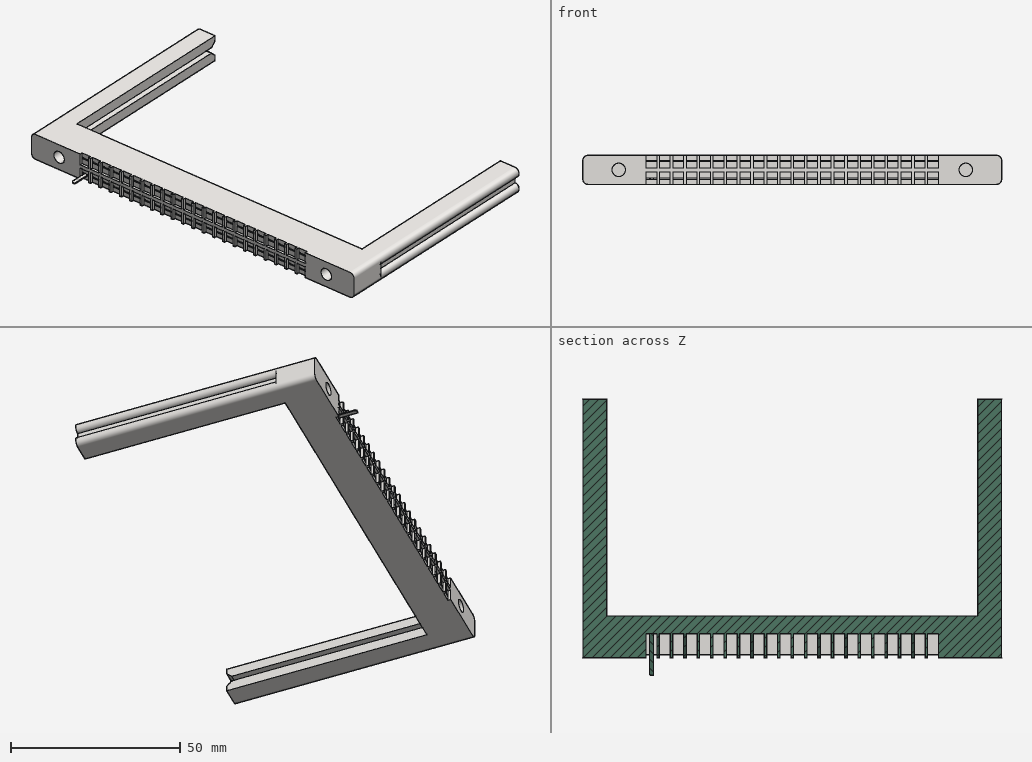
import cadquery as cq

length = 123.8
height = 8.7
arm_width = 7.2
arm_reach = 64.0
bar_depth = 12.4
front_y = 0.0
back_y = front_y + bar_depth
arm_end_y = back_y + arm_reach

edge_radius = 1.6
groove_half_gap = 1.05
mouth_radius = 1.5

guide_height = 1.9
guide_depth = 3.0
guide_flare = 1.6

hole_diameter = 4.0
hole_depth = 7.4
hole_spacing = 102.5

cell_count = 22
cell_pitch = 4.0
cell_wall = 0.8
cell_depth = 0.9
row_divider = 1.2
cell_width = cell_pitch - cell_wall
cell_height = (height - row_divider) / 2

slot_z = 2.6
slot_thickness = 0.4
slot_depth = 6.2

pin_width = 1.2
pin_length_out = 5.2
pin_tip_chamfer = 0.4


def box(x_size, y_size, z_size, x, y_start, z):
    """Box centred on x and z that runs from y_start towards +Y."""
    return cq.Workplane("XY").box(x_size, y_size, z_size).translate((x, y_start + y_size / 2, z))


def cell_x(index):
    return (index - (cell_count - 1) / 2) * cell_pitch


def make_frame():
    frame = box(length, bar_depth, height, 0, front_y, 0)
    for side in (-1, 1):
        arm_x = side * (length - arm_width) / 2
        frame = frame.union(box(arm_width, arm_reach, height, arm_x, back_y, 0))
    return frame.edges("|Y and (<X or >X)").fillet(edge_radius)


def outer_groove(side):
    """Groove along the outer face of an arm, with a rounded mouth."""
    face_x = side * length / 2
    floor_x = face_x - side * mouth_radius
    mouth_z = groove_half_gap + mouth_radius
    arc_reach = mouth_radius * (1 - 0.5 ** 0.5)
    arc_x = face_x - side * arc_reach
    arc_z = groove_half_gap + arc_reach
    return (
        cq.Workplane("XZ", origin=(0, arm_end_y, 0))
        .moveTo(face_x, mouth_z)
        .threePointArc((arc_x, arc_z), (floor_x, groove_half_gap))
        .lineTo(floor_x, -groove_half_gap)
        .threePointArc((arc_x, -arc_z), (face_x, -mouth_z))
        .close()
        .extrude(arm_reach)
    )


def guide_groove(side):
    """Guide slot whose open end flares above and below at 45 degrees to lead the card in."""
    inner_x = side * (length / 2 - arm_width)
    half = guide_height / 2
    flare_y = arm_end_y - guide_flare
    flare_z = half + guide_flare
    return (
        cq.Workplane("YZ", origin=(inner_x, 0, 0))
        .moveTo(back_y, -half)
        .lineTo(flare_y, -half)
        .lineTo(arm_end_y, -flare_z)
        .lineTo(arm_end_y, flare_z)
        .lineTo(flare_y, half)
        .lineTo(back_y, half)
        .close()
        .extrude(side * guide_depth)
    )


def mounting_hole(side):
    return (
        cq.Workplane("XZ", origin=(side * hole_spacing / 2, front_y + hole_depth, 0))
        .circle(hole_diameter / 2)
        .extrude(hole_depth)
    )


def contact_cell(index, row):
    """Shallow pocket, open at the top or bottom face, with a narrow contact slot in its floor."""
    x = cell_x(index)
    pocket = box(cell_width, cell_depth, cell_height, x, front_y, row * (row_divider + cell_height) / 2)
    slot = box(cell_width, slot_depth, slot_thickness, x, front_y + cell_depth, row * slot_z)
    return pocket.union(slot)


def make_housing():
    housing = make_frame()
    for side in (-1, 1):
        housing = housing.cut(outer_groove(side)).cut(guide_groove(side)).cut(mounting_hole(side))
    for index in range(cell_count):
        for row in (-1, 1):
            housing = housing.cut(contact_cell(index, row))
    return housing


def make_pin():
    """Flat contact seated on the end of its slot, with one corner of the tip cut off."""
    pin_length = pin_length_out + cell_depth + slot_depth
    pin = box(pin_width, pin_length, slot_thickness, cell_x(0), front_y - pin_length_out, -slot_z)
    return pin.edges("|Z and <Y and <X").chamfer(pin_tip_chamfer)


housing = make_housing()
pin = make_pin()
result = cq.Compound.makeCompound([housing.val(), pin.val()])